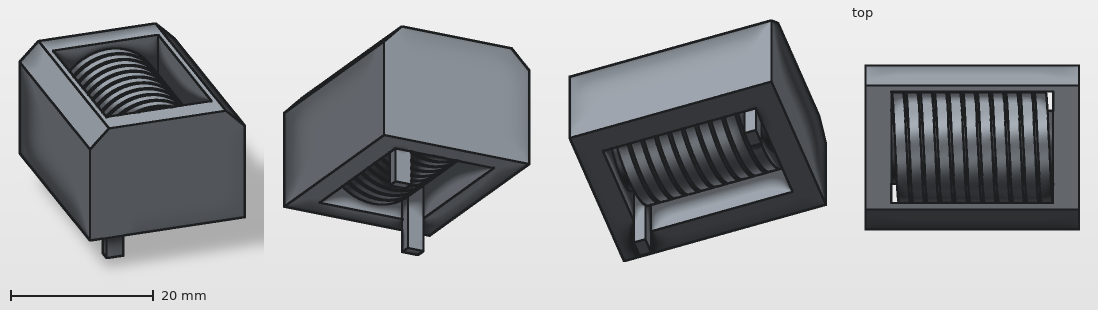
import cadquery as cq

HOUSING_LENGTH = 30.0
HOUSING_WIDTH = 23.0
HOUSING_HEIGHT = 17.0
HOUSING_CHAMFER = 2.82
OPENING_LENGTH = 22.7
OPENING_WIDTH = 15.6

CORE_DIAMETER = 10.3
AXIS_HEIGHT = HOUSING_HEIGHT / 2

COIL_DIAMETER = 15.5
COIL_TURNS = 10.5
STRIP_THICKNESS = 2.5
STRIP_WIDTH = 1.6
LEAD_WIDTH = 1.7
LEAD_DROP = 4.98

LEAD_SPACING = OPENING_LENGTH - LEAD_WIDTH
COIL_PITCH = LEAD_SPACING / COIL_TURNS
STRIP_RADIUS = (COIL_DIAMETER - STRIP_THICKNESS) / 2


def axis_plane(x):
    """Plane across the coil axis at x: its normal is +X and its own x direction is +Y."""
    return cq.Plane(origin=(x, 0, AXIS_HEIGHT), xDir=(0, 1, 0), normal=(1, 0, 0))


def make_housing():
    """Block with both long top edges chamfered and a rectangular opening right through it."""
    block = (
        cq.Workplane("XY")
        .box(HOUSING_LENGTH, HOUSING_WIDTH, HOUSING_HEIGHT, centered=(True, True, False))
        .edges("|X and >Z")
        .chamfer(HOUSING_CHAMFER)
    )
    opening = cq.Workplane("XY").box(
        OPENING_LENGTH, OPENING_WIDTH, HOUSING_HEIGHT, centered=(True, True, False)
    )
    return block.cut(opening)


def make_core():
    """Round bar held between the two end walls of the opening."""
    return (
        cq.Workplane(axis_plane(-OPENING_LENGTH / 2))
        .circle(CORE_DIAMETER / 2)
        .extrude(OPENING_LENGTH)
    )


def make_winding():
    """Rectangular strip swept along a right-handed helix that starts on the +Y side."""
    path = cq.Wire.makeHelix(COIL_PITCH, LEAD_SPACING, STRIP_RADIUS)
    strip = (
        cq.Workplane("XZ")
        .center(STRIP_RADIUS, 0)
        .rect(STRIP_THICKNESS, STRIP_WIDTH)
        .sweep(cq.Workplane(obj=path), isFrenet=True)
    )
    start_plane = axis_plane(-LEAD_SPACING / 2)
    return cq.Workplane(obj=strip.val().moved(cq.Location(start_plane)))


def make_lead(side):
    """Straight lead from the coil axis level down past the housing.

    side = 1 is the lead at the -X end, on the +Y side; side = -1 is the opposite one.
    """
    return (
        cq.Workplane("XY", origin=(0, 0, AXIS_HEIGHT))
        .center(-side * LEAD_SPACING / 2, side * STRIP_RADIUS)
        .rect(LEAD_WIDTH, STRIP_THICKNESS)
        .extrude(-(AXIS_HEIGHT + LEAD_DROP))
    )


def make_coil():
    """Winding and its two leads, as one continuous strip."""
    coil = make_winding()
    for side in (1, -1):
        coil = coil.union(make_lead(side))
    return coil


housing = make_housing().solids()
core = make_core()
coil = make_coil().solids()

result = cq.Compound.makeCompound([housing.val(), core.val(), coil.val()])